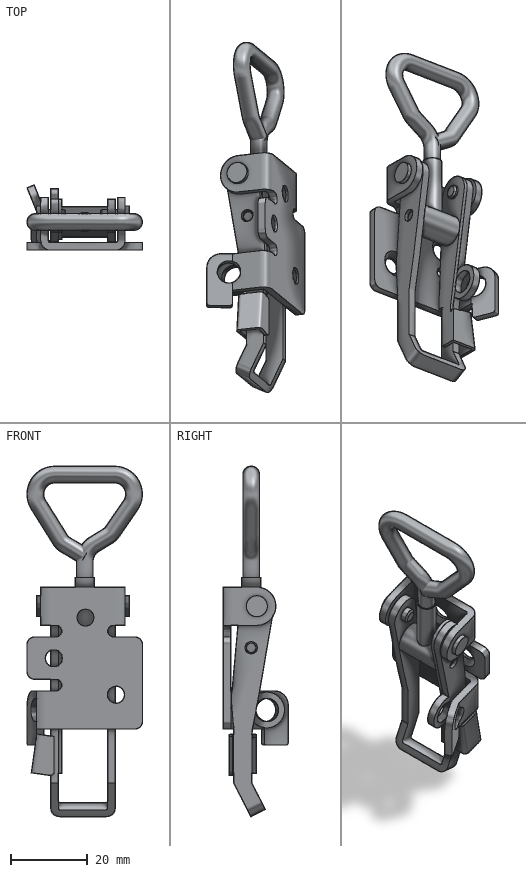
import cadquery as cq
import math


sheet = 2.0
outer_bend = 2.5
inner_bend = outer_bend - sheet
assembly_x = -0.5

plate_half_width = 15.1
plate_top = 37.0
wing_top = 24.0
left_wing_bottom = 13.0
corner_radius = 2.0
notch_height = 3.0
notch_reach = 6.0
screw_hole = 4.4
countersink_land = 0.6
screw_hole_places = [(0.2, 29.05), (-8.0, 18.5), (8.1, 8.95)]
tab_height = 10.0
ears_width = 22.0

lock_ear_x = -12.5
flap_bend_y = 10.0
flap_length = 6.8
flap_angle = 22
flap_drop = 4.2
flap_top_radius = 3.8
flap_corner_radius = 0.7
padlock_hole = 6.0
padlock_y = 10.9

pivot_y = 8.8
pivot_z = plate_top - tab_height / 2
shank_diameter = 3.7
shank_chamfer = 0.5
rivet_head_diameter = 5.5
rivet_head_height = 1.1
rivet_length = 7.6

lever_width = 16.8
lever_end_radius = 4.5
arm_front = 2.7
arm_rear = 7.5
knee_z = -14.1
handle_angle = 27
handle_front_z = -22.8
front_corner = (2.1, 7.95)
front_taper_end_z = 0
rear_corner = (9.3, 8.7)
rear_taper_end_z = -0.5
lug_y = 11.3
lug_radius = 4.7

catch_sheet = 0.9
catch_bend = 1.2
grip_front = 1.55
grip_rear = 8.7
grip_top = -1.3
grip_length = 10.2
grip_x = -12.5
grip_tilt = 8
grip_lip_x = -7.95
grip_lip_radius = 1.1
leaf_bottom = -11.5
leaf_front = 4.1

barrel_y = 7.3
barrel_z = 21.2
barrel_diameter = 8.0
pin_diameter = 3.2
pin_chamfer = 0.4
pin_recess = 0.7
hook_diameter = 4.4
thread_diameter = 5.0
thread_top = 39.6
thread_bottom = 22.9
hook_top_z = 66.3
loop_radius = 5.1
leg_radius = 3.5
left_corner_x = -17.0
right_corner_x = 17.45
left_leg = (-5.85, 48.5)
right_leg = (6.8, 50.8)
left_leg_end_z = 45.0
stem_corner_z = 46.6

lever_left = assembly_x - lever_width / 2
lever_right = assembly_x + lever_width / 2
leaf_left = lever_left + sheet
leaf_right = leaf_left + catch_sheet
ears_left = assembly_x - ears_width / 2
ears_right = assembly_x + ears_width / 2


def box(x0, x1, y0, y1, z0, z1):
    """Box between two corners."""
    return cq.Workplane("XY").box(x1 - x0, y1 - y0, z1 - z0, centered=False).translate((x0, y0, z0))


def rod_x(x0, x1, y, z, diameter):
    """Cylinder along X."""
    return cq.Workplane("YZ", origin=(x0, y, z)).circle(diameter / 2).extrude(x1 - x0)


def rod_y(x, z, diameter, length):
    """Cylinder from Y = 0 toward +Y."""
    return cq.Workplane("XZ", origin=(x, 0, z)).circle(diameter / 2).extrude(-length)


def screw_cut(x, z):
    """Screw hole through the plate, countersunk from the side that carries the ears."""
    cone_depth = sheet - countersink_land
    land_radius = screw_hole / 2
    profile = [
        (0, 0),
        (land_radius, 0),
        (land_radius, countersink_land),
        (land_radius + cone_depth, sheet),
        (0, sheet),
    ]
    return cq.Workplane("XY").polyline(profile).close().revolve(360, (0, 0), (0, 1)).translate((x, 0, z))


def plate():
    """Flat of the base with its two wings and relief notches."""
    flat = box(ears_left + outer_bend, ears_right - outer_bend, 0, sheet, 0, plate_top)
    right_wing = box(0, plate_half_width, 0, sheet, 0, wing_top)
    right_wing = right_wing.edges("|Y and >X").fillet(corner_radius)
    left_wing = box(-plate_half_width, 0, 0, sheet, left_wing_bottom, wing_top)
    left_wing = left_wing.edges("|Y and <X").fillet(corner_radius)
    flat = flat.union(right_wing).union(left_wing)
    for side, bottom in [(-1, wing_top), (1, wing_top), (-1, tab_height)]:
        middle_z = bottom + notch_height / 2
        round_x = side * (notch_reach + notch_height / 2)
        far_x = side * plate_half_width
        notch = box(min(round_x, far_x), max(round_x, far_x), 0, sheet, bottom, bottom + notch_height)
        flat = flat.cut(notch).cut(rod_y(round_x, middle_z, notch_height, sheet))
    return flat


def pivot_ears():
    """Bent channel at the top of the base, with round-ended ears for the rivets."""
    depth = pivot_y + tab_height / 2
    bottom = plate_top - tab_height
    channel = box(ears_left, ears_right, 0, depth, bottom, plate_top)
    channel = channel.edges("|Z and <Y").fillet(outer_bend)
    inside = box(ears_left + sheet, ears_right - sheet, sheet, depth, bottom, plate_top)
    channel = channel.cut(inside.edges("|Z and <Y").fillet(inner_bend))
    round_end = rod_x(ears_left, ears_right, pivot_y, pivot_z, tab_height)
    channel = channel.intersect(box(ears_left, ears_right, 0, pivot_y, bottom, plate_top).union(round_end))
    return channel.cut(rod_x(ears_left, ears_right, pivot_y, pivot_z, shank_diameter))


def locking_ear():
    """Bent ear at the lower left, ending in a flap that leans outward and takes a padlock."""
    angle = math.radians(flap_angle)
    inner_x = lock_ear_x + sheet
    foot = box(lock_ear_x, ears_left + outer_bend, 0, flap_bend_y, 0, tab_height)
    foot = foot.edges("|Z and <X and <Y").fillet(outer_bend)
    inside = box(inner_x, 0, sheet, flap_bend_y, 0, tab_height)
    foot = foot.cut(inside.edges("|Z and <X and <Y").fillet(inner_bend))

    flap_plane = cq.Plane(
        origin=(lock_ear_x, flap_bend_y, 0),
        xDir=(-math.sin(angle), math.cos(angle), 0),
        normal=(math.cos(angle), math.sin(angle), 0),
    )
    flap_height = flap_drop + tab_height
    flap = cq.Workplane(flap_plane).center(flap_length / 2, tab_height - flap_height / 2)
    flap = flap.rect(flap_length, flap_height).extrude(sheet)
    across = cq.selectors.ParallelDirSelector(flap_plane.zDir)
    flap = flap.edges(across).edges("<Z").fillet(flap_corner_radius)
    flap = flap.edges(across).edges(">Z").edges(">Y").fillet(flap_top_radius)

    bend_wedge = [
        (lock_ear_x, flap_bend_y),
        (inner_x, flap_bend_y),
        (inner_x, flap_bend_y + sheet * math.tan(angle / 2)),
        (lock_ear_x + sheet * math.cos(angle), flap_bend_y + sheet * math.sin(angle)),
    ]
    wedge = cq.Workplane("XY").polyline(bend_wedge).close().extrude(tab_height)
    hole_offset = (padlock_y - flap_bend_y) / math.cos(angle)
    hole = cq.Workplane(flap_plane).center(hole_offset, tab_height / 2).circle(padlock_hole / 2)
    return foot.union(wedge).union(flap).cut(hole.extrude(2 * sheet, both=True))


def base():
    """Base plate with its pivot ears and locking ear, bent from one sheet."""
    body = plate().union(pivot_ears()).union(locking_ear())
    for x, z in screw_hole_places:
        body = body.cut(screw_cut(x, z))
    return body


def rivet(side):
    """Headed rivet through one ear and the lever arm behind it; side is -1 for left, 1 for right."""
    head = cq.Workplane("YZ").circle(rivet_head_diameter / 2).extrude(-rivet_head_height)
    shank = cq.Workplane("YZ").circle(shank_diameter / 2).extrude(rivet_length - rivet_head_height)
    left_rivet = head.union(shank.faces(">X").chamfer(shank_chamfer))
    left_rivet = left_rivet.translate((-ears_width / 2, 0, 0))
    if side > 0:
        left_rivet = left_rivet.mirror("YZ")
    return left_rivet.translate((assembly_x, pivot_y, pivot_z))


def pivot_tangent(point, side):
    """Point where a line from `point` touches the rounded arm end; side is -1 for front, 1 for rear."""
    away_y = point[0] - pivot_y
    away_z = point[1] - pivot_z
    spread = math.acos(lever_end_radius / math.hypot(away_y, away_z))
    angle = math.atan2(away_z, away_y) + side * spread
    return (pivot_y + lever_end_radius * math.cos(angle), pivot_z + lever_end_radius * math.sin(angle))


def pivoted_plate(x0, x1, lower_outline, front_point, rear_point):
    """Plate across X with a round end at the pivot and straight (Y, Z) edges below it."""
    outline = [pivot_tangent(front_point, -1), *lower_outline, pivot_tangent(rear_point, 1)]
    blade = cq.Workplane("YZ", origin=(x0, 0, 0)).polyline(outline).close().extrude(x1 - x0)
    return blade.union(rod_x(x0, x1, pivot_y, pivot_z, 2 * lever_end_radius))


def lever():
    """U-shaped lever: two arms rounded at the pivot, joined by a bent-back handle bar."""
    tilt = math.radians(handle_angle)
    down = (math.sin(tilt), -math.cos(tilt))
    front_run = (knee_z - handle_front_z) / math.cos(tilt)
    tip_front = (arm_front + front_run * down[0], handle_front_z)
    bar_depth = (arm_rear - arm_front) * math.cos(tilt)
    tip_rear = (tip_front[0] + bar_depth * math.cos(tilt), tip_front[1] + bar_depth * math.sin(tilt))
    lower_outline = [
        front_corner,
        (arm_front, front_taper_end_z),
        (arm_front, knee_z),
        tip_front,
        tip_rear,
        (arm_rear, knee_z),
        (arm_rear, rear_taper_end_z),
        rear_corner,
    ]
    body = pivoted_plate(lever_left, lever_right, lower_outline, front_corner, rear_corner)
    bar_edges = cq.selectors.ParallelDirSelector(cq.Vector(0, math.cos(tilt), math.sin(tilt)))
    body = body.edges(bar_edges).edges("<Z").fillet(outer_bend)

    bar_plane = cq.Plane(
        origin=(assembly_x, tip_front[0] - sheet * down[0], tip_front[1] - sheet * down[1]),
        xDir=(1, 0, 0),
        normal=(0, down[0], down[1]),
    )
    clear_height = 2 * (pivot_z - handle_front_z)
    inside_width = lever_width - 2 * sheet
    inside = cq.Workplane(bar_plane).rect(inside_width, clear_height).extrude(-clear_height)
    body = body.cut(inside.edges(bar_edges).edges("<Z").fillet(inner_bend))

    lug = rod_x(lever_left, leaf_left, lug_y, tab_height / 2, 2 * lug_radius)
    padlock_cut = rod_x(lever_left, leaf_left, lug_y, tab_height / 2, padlock_hole)
    body = body.union(lug).cut(padlock_cut)
    body = body.cut(rod_x(lever_left, lever_right, pivot_y, pivot_z, shank_diameter))
    return body.cut(rod_x(lever_left, lever_right, barrel_y, barrel_z, pin_diameter))


def leaf():
    """Flat spring of the catch, lying against the inner face of the left lever arm."""
    rear_point = (arm_rear, grip_top)
    front_point = (arm_front, 0)
    lower_outline = [
        front_point,
        (leaf_front, 0),
        (leaf_front, leaf_bottom),
        (arm_rear, leaf_bottom),
        rear_point,
    ]
    spring = pivoted_plate(leaf_left, leaf_right, lower_outline, front_point, rear_point)
    spring = spring.cut(rod_x(leaf_left, leaf_right, pivot_y, pivot_z, shank_diameter))
    return spring.cut(rod_x(leaf_left, leaf_right, barrel_y, barrel_z, pin_diameter))


def grip():
    """Thumb grip of the catch: a leaning channel around the left arm, its rear wall meeting the leaf."""
    reach = leaf_right - grip_x
    far_x = grip_x + 2 * reach
    margin = reach * math.sin(math.radians(grip_tilt))
    channel = box(grip_x, far_x, grip_front, grip_rear, grip_top - grip_length, grip_top)
    channel = channel.edges("|Z and <X").fillet(catch_bend)
    inside = box(
        grip_x + catch_sheet,
        far_x,
        grip_front + catch_sheet,
        grip_rear - catch_sheet,
        grip_top - grip_length,
        grip_top,
    )
    channel = channel.cut(inside.edges("|Z and <X").fillet(catch_bend - catch_sheet))
    channel = channel.rotate((grip_x, 0, grip_top), (grip_x, 1, grip_top), grip_tilt)
    low_z = grip_top - 2 * grip_length
    lip_trim = box(grip_lip_x, far_x, 0, grip_front + catch_sheet, low_z, grip_top + margin)
    channel = channel.cut(lip_trim)
    rear_trim = box(grip_x - reach, far_x, grip_rear - catch_bend, grip_rear, low_z, leaf_bottom)
    channel = channel.cut(rear_trim)
    lip_corner = (grip_lip_x, grip_front, grip_top - grip_length - margin)
    lip_edge = cq.selectors.NearestToPointSelector(lip_corner)
    channel = channel.edges("|Y").edges(lip_edge).fillet(grip_lip_radius)
    return channel.cut(box(leaf_right, far_x, 0, grip_rear, low_z, grip_top + margin))


def catch():
    """Safety catch: spring leaf and thumb grip in one piece."""
    bridge = box(leaf_left, leaf_right, arm_rear, grip_rear, leaf_bottom, grip_top - catch_bend)
    return leaf().union(grip()).union(bridge)


def barrel():
    """Cross barrel between the lever arms, drilled for its pin and for the threaded rod."""
    right = lever_right - sheet
    body = rod_x(leaf_right, right, barrel_y, barrel_z, barrel_diameter)
    rod_hole = cq.Workplane("XY", origin=(0, barrel_y, thread_bottom)).circle(thread_diameter / 2)
    body = body.cut(rod_hole.extrude(barrel_diameter))
    return body.cut(rod_x(leaf_right, right, barrel_y, barrel_z, pin_diameter))


def barrel_pin():
    """Chamfered pin through both lever arms and the barrel, its ends below the arm faces."""
    pin = rod_x(lever_left + pin_recess, lever_right - pin_recess, barrel_y, barrel_z, pin_diameter)
    return pin.faces("<X or >X").chamfer(pin_chamfer)


def toward(start, end, distance):
    """Point at a distance from `start` on the way to `end`, in the (X, Z) plane."""
    length = math.dist(start, end)
    return tuple(a + (b - a) * distance / length for a, b in zip(start, end))


def rounded_path(points, radii):
    """Path through (X, Z) points in the plane of the hook, its inner corners rounded by the radii."""
    path = cq.Workplane("XZ", origin=(0, barrel_y, 0)).moveTo(*points[0])
    for before, corner, after, radius in zip(points, points[1:], points[2:], radii):
        way_in = math.atan2(corner[1] - before[1], corner[0] - before[0])
        way_out = math.atan2(after[1] - corner[1], after[0] - corner[0])
        half_turn = abs(math.remainder(way_out - way_in, 2 * math.pi)) / 2
        setback = radius * math.tan(half_turn)
        arc_start = toward(corner, before, setback)
        arc_end = toward(corner, after, setback)
        chord_middle = tuple((a + b) / 2 for a, b in zip(arc_start, arc_end))
        bulge = radius * (1 - math.cos(half_turn))
        path = path.lineTo(*arc_start).threePointArc(toward(chord_middle, corner, bulge), arc_end)
    return path.lineTo(*points[-1])


def hook():
    """Threaded rod bent into a closed pull loop, whose end is joined to the stem."""
    points = [
        (0, thread_top),
        (0, stem_corner_z),
        right_leg,
        (right_corner_x, hook_top_z),
        (left_corner_x, hook_top_z),
        left_leg,
        (0, left_leg_end_z),
    ]
    bend_radii = [loop_radius, leg_radius, loop_radius, loop_radius, leg_radius]
    stem_start = cq.Workplane("XY", origin=(0, barrel_y, thread_top)).circle(hook_diameter / 2)
    loop = stem_start.sweep(rounded_path(points, bend_radii))
    thread = cq.Workplane("XY", origin=(0, barrel_y, thread_bottom)).circle(thread_diameter / 2)
    return loop.union(thread.extrude(thread_top - thread_bottom))


rivets = [rivet(side).val() for side in (-1, 1)]

result = cq.Compound.makeCompound([
    base().val(),
    lever().val(),
    catch().val(),
    *rivets,
    barrel().val(),
    barrel_pin().val(),
    hook().val(),
])